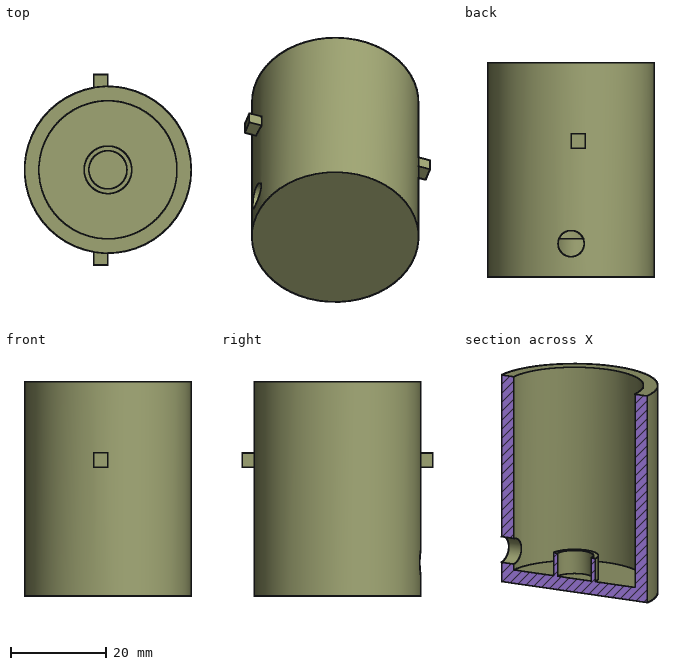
import cadquery as cq

height = 45.0
outer_diameter = 35.0
wall = 3.0
floor_thickness = wall

ring_outer_diameter = 10.0
ring_inner_diameter = 8.0
ring_height = 5.0

pin_size = 3.0
pin_span = 40.0
pin_bottom = 27.0

side_hole_diameter = 5.5
side_hole_height = 7.0

outer_radius = outer_diameter / 2
inner_radius = outer_radius - wall
wall_middle_radius = outer_radius - wall / 2


def make_cup():
    body = cq.Workplane("XY").circle(outer_radius).extrude(height)
    cavity = (
        cq.Workplane("XY", origin=(0, 0, floor_thickness))
        .circle(inner_radius)
        .extrude(height - floor_thickness)
    )
    return body.cut(cavity)


def make_floor_ring():
    return (
        cq.Workplane("XY", origin=(0, 0, floor_thickness))
        .circle(ring_outer_diameter / 2)
        .circle(ring_inner_diameter / 2)
        .extrude(ring_height)
    )


def make_pin(side):
    """Pin rooted in the wall; its +X face lies on the YZ plane. side is -1 or 1."""
    length = pin_span / 2 - wall_middle_radius
    center_y = side * (wall_middle_radius + length / 2)
    return (
        cq.Workplane("XY", origin=(-pin_size / 2, center_y, pin_bottom))
        .rect(pin_size, length)
        .extrude(pin_size)
    )


def make_side_hole():
    """Cutter from just outside the floor ring outward along +Y."""
    start_y = ring_outer_diameter / 2
    return (
        cq.Workplane("XZ", origin=(0, start_y, side_hole_height))
        .circle(side_hole_diameter / 2)
        .extrude(-(outer_radius - start_y))
    )


result = make_cup().union(make_floor_ring())
for side in (-1, 1):
    result = result.union(make_pin(side))
result = result.cut(make_side_hole())